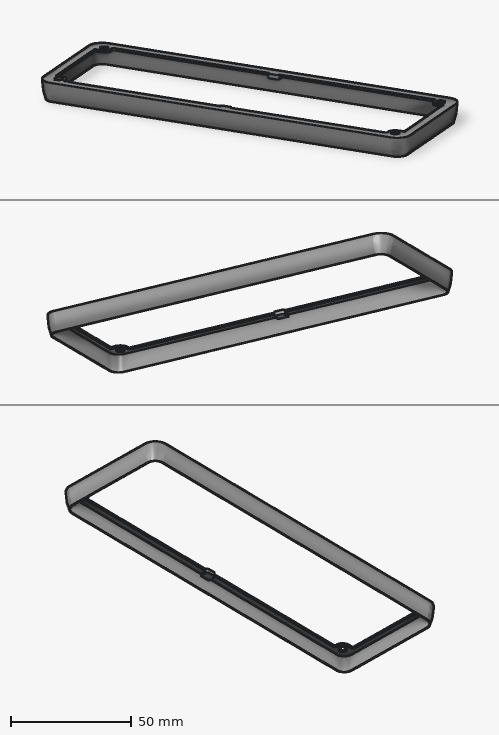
import cadquery as cq

LENGTH = 169.5
WIDTH = 55.63
HEIGHT = 8.9
CORNER_RADIUS = 6.0

BAND_HEIGHT = 1.0
BASE_INSET = 1.5
BAND_BOTTOM = HEIGHT - BAND_HEIGHT

SKIRT_THICKNESS = 1.8

SHORT_WALL = 4.25
LONG_WALL = 4.6
OPENING_LENGTH = LENGTH - 2 * SHORT_WALL
OPENING_WIDTH = WIDTH - 2 * LONG_WALL

HOLE_SPACING_X = 155.5
HOLE_SPACING_Y = 43.5
HOLE_DIAMETER = 3.5
BOSS_RADIUS = 3.2
BOSS_ROOT_FILLET = 0.7

TAB_LENGTH = 5.0
TAB_DEPTH = 1.0
TAB_HEIGHT = 2.0


def block(length, width, height):
    return cq.Workplane("XY").box(length, width, height, centered=(True, True, False))


def half_section(plane, reach):
    """Section from the local vertical axis out to the curved wall at distance `reach`."""
    arc_radius = (BAND_BOTTOM**2 + BASE_INSET**2) / (2 * BASE_INSET)
    return (
        cq.Workplane(plane)
        .lineTo(reach - BASE_INSET, 0)
        .radiusArc((reach, BAND_BOTTOM), -arc_radius)
        .lineTo(reach, HEIGHT)
        .lineTo(0, HEIGHT)
        .close()
    )


def outer_body():
    """Solid rounded block with the curved wall along its four sides and around its corners."""
    straight_x = LENGTH / 2 - CORNER_RADIUS
    straight_y = WIDTH / 2 - CORNER_RADIUS
    long_side = half_section("YZ", WIDTH / 2).extrude(straight_x, both=True)
    short_side = half_section("XZ", LENGTH / 2).extrude(straight_y, both=True)
    corner = half_section("XZ", CORNER_RADIUS).revolve(360, (0, 0), (0, 1))

    body = long_side.union(long_side.mirror("XZ"))
    body = body.union(short_side).union(short_side.mirror("YZ"))
    for sign_x in (-1, 1):
        for sign_y in (-1, 1):
            body = body.union(corner.translate((sign_x * straight_x, sign_y * straight_y, 0)))
    return body


def boss_blank(sign_x, sign_y):
    """Corner pad whose inner corner is rounded about the screw hole."""
    length = LENGTH / 2 - HOLE_SPACING_X / 2 + BOSS_RADIUS
    width = WIDTH / 2 - HOLE_SPACING_Y / 2 + BOSS_RADIUS
    centre = (sign_x * (LENGTH - length) / 2, sign_y * (WIDTH - width) / 2, 0)
    inner_edge = ("<X" if sign_x > 0 else ">X") + " and " + ("<Y" if sign_y > 0 else ">Y")
    pad = block(length, width, HEIGHT).edges("|Z").edges(inner_edge).fillet(BOSS_RADIUS)
    return pad.translate(centre)


def opening():
    """Cutter for the opening in the lip, leaving the four bosses standing."""
    cutter = block(OPENING_LENGTH, OPENING_WIDTH, HEIGHT)
    for sign_x in (-1, 1):
        for sign_y in (-1, 1):
            cutter = cutter.cut(boss_blank(sign_x, sign_y))
    return cutter.edges("|Z and (>Y or <Y)").fillet(BOSS_ROOT_FILLET)


def cavity():
    """Rounded cutter that hollows the underside up to the lip, leaving the skirt."""
    length = LENGTH - 2 * SKIRT_THICKNESS
    width = WIDTH - 2 * SKIRT_THICKNESS
    return block(length, width, BAND_BOTTOM).edges("|Z").fillet(CORNER_RADIUS - SKIRT_THICKNESS)


def tab(sign_y):
    """Rounded tab flush with the top face, rooted in the lip of a long wall."""
    root = LONG_WALL - SKIRT_THICKNESS
    centre_y = sign_y * (OPENING_WIDTH / 2 + (root - TAB_DEPTH) / 2)
    free_face = "<Y" if sign_y > 0 else ">Y"
    plate = block(TAB_LENGTH, TAB_DEPTH + root, TAB_HEIGHT).faces(free_face).edges("|Z").fillet(TAB_DEPTH)
    return plate.translate((0, centre_y, HEIGHT - TAB_HEIGHT))


def screw_holes():
    return (
        cq.Workplane("XY")
        .rect(HOLE_SPACING_X, HOLE_SPACING_Y, forConstruction=True)
        .vertices()
        .circle(HOLE_DIAMETER / 2)
        .extrude(HEIGHT)
    )


frame = outer_body().cut(opening()).cut(cavity())
for side in (-1, 1):
    frame = frame.union(tab(side))
result = frame.cut(screw_holes())